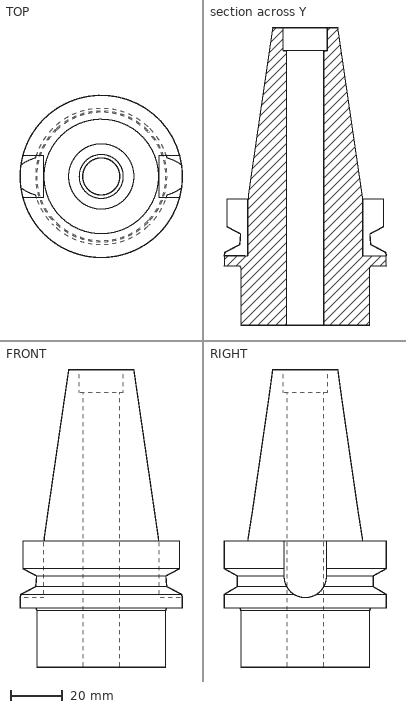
import cadquery as cq

height = 115.4
gauge_z = 50.0
flange_top_z = 49.0
groove_top_z = 38.2
groove_wall_top_z = 35.4
groove_wall_bottom_z = 31.3
groove_bottom_z = 28.3
flange_bottom_z = 23.0

gauge_radius = 44.4 / 2
taper_ratio = 7 / 24
tip_radius = gauge_radius - taper_ratio * (height - gauge_z) / 2
flange_radius = 63.0 / 2
groove_radius = 53.0 / 2
nose_radius = 50.0 / 2

neck_height = 1.0
neck_flare = 0.5

bore_radius = 14.3 / 2
counterbore_radius = 14.8 / 2
counterbore_depth = 8.9

slot_width = 16.4
slot_bottom_z = 27.0
slot_floor_x = 22.4


def make_body():
    """Revolve the outer profile: nose, grooved flange and taper."""
    profile = (
        cq.Workplane("XZ")
        .moveTo(0, 0)
        .lineTo(nose_radius, 0)
        .lineTo(nose_radius, flange_bottom_z - neck_height)
        .lineTo(nose_radius + neck_flare, flange_bottom_z)
        .lineTo(flange_radius, flange_bottom_z)
        .lineTo(flange_radius, groove_bottom_z)
        .lineTo(groove_radius, groove_wall_bottom_z)
        .lineTo(groove_radius, groove_wall_top_z)
        .lineTo(flange_radius, groove_top_z)
        .lineTo(flange_radius, flange_top_z)
        .lineTo(gauge_radius, flange_top_z)
        .lineTo(gauge_radius, gauge_z)
        .lineTo(tip_radius, height)
        .lineTo(0, height)
        .close()
    )
    return profile.revolve(360, (0, 0, 0), (0, 1, 0))


def cut_bore(body):
    """Bore the axis and widen the hole at the small end of the taper."""
    return (
        body.faces(">Z")
        .workplane(origin=(0, 0, height))
        .cboreHole(2 * bore_radius, 2.3 * counterbore_radius, counterbore_depth)
    )


def make_drive_slot(side):
    """Round-bottomed slot, open at the flange top; side is -1 or +1 along X."""
    half_width = slot_width / 2
    arc_center_z = slot_bottom_z + half_width
    slot_depth = flange_radius - slot_floor_x
    outline = (
        cq.Workplane("YZ", origin=(side * slot_floor_x, 0, 0))
        .moveTo(-half_width, flange_top_z)
        .lineTo(-half_width, arc_center_z)
        .threePointArc((0, slot_bottom_z), (half_width, arc_center_z))
        .lineTo(half_width, flange_top_z)
        .close()
    )
    return outline.extrude(side * slot_depth)


result = cut_bore(make_body())
for slot_side in (-1, 1):
    result = result.cut(make_drive_slot(slot_side))